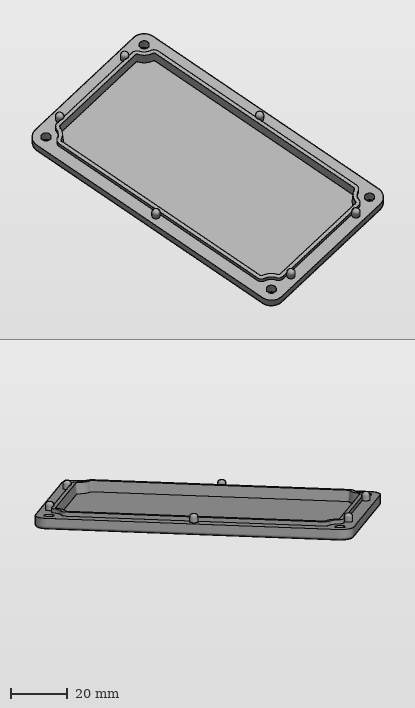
import cadquery as cq

length = 114.5
width = 63.5
plate_height = 4.0
corner_radius = 4.9
bottom_edge_radius = 1.0

hole_diameter = 3.5
hole_x = length / 2 - corner_radius
hole_y = width / 2 - corner_radius

lip_inset = 4.7
lip_top = 5.5
lip_wall = 1.5
notch_radius = 4.4
notch_blend_radius = 2.3

floor_thickness = 1.5
cavity_draft = 4.5

pin_diameter = 3.0
pin_top = 7.0
pin_tip_radius = 1.1
end_pin_x = length / 2 - 3.5
end_pin_y = 17.7
side_pin_y = width / 2 - 3.4

hole_points = [(x, y) for x in (-hole_x, hole_x) for y in (-hole_y, hole_y)]
pin_points = [(x, y) for x in (-end_pin_x, end_pin_x) for y in (-end_pin_y, end_pin_y)]
pin_points += [(0, -side_pin_y), (0, side_pin_y)]


def notched_block(offset, bottom, top):
    """Block with concave corner notches; offset moves its outline inward from the lip face."""
    inset = lip_inset + offset
    block = (
        cq.Workplane("XY", origin=(0, 0, bottom))
        .rect(length - 2 * inset, width - 2 * inset)
        .extrude(top - bottom)
    )
    notches = (
        cq.Workplane("XY", origin=(0, 0, bottom))
        .pushPoints(hole_points)
        .circle(notch_radius + offset)
        .extrude(top - bottom)
    )
    return block.cut(notches).edges("|Z").fillet(notch_blend_radius - offset)


def make_plate():
    """Rounded rectangular plate with a rounded bottom edge."""
    plate = cq.Workplane("XY").rect(length, width).extrude(plate_height)
    plate = plate.edges("|Z").fillet(corner_radius)
    return plate.faces("<Z").edges().fillet(bottom_edge_radius)


def make_pins():
    """Round-tipped pins standing on the plate."""
    pins = (
        cq.Workplane("XY", origin=(0, 0, floor_thickness))
        .pushPoints(pin_points)
        .circle(pin_diameter / 2)
        .extrude(pin_top - floor_thickness)
    )
    return pins.faces(">Z").edges().fillet(pin_tip_radius)


def make_cavity():
    """Cavity volume with drafted walls, widest at the lip top."""
    straight = notched_block(lip_wall, floor_thickness, lip_top)
    mouth = straight.faces(">Z").wires().toPending()
    return mouth.extrude(floor_thickness - lip_top, combine=False, taper=cavity_draft)


lip = notched_block(0, floor_thickness, lip_top)
holes = cq.Workplane("XY").pushPoints(hole_points).circle(hole_diameter / 2).extrude(plate_height)

result = make_plate().union(lip).cut(make_cavity()).union(make_pins()).cut(holes)